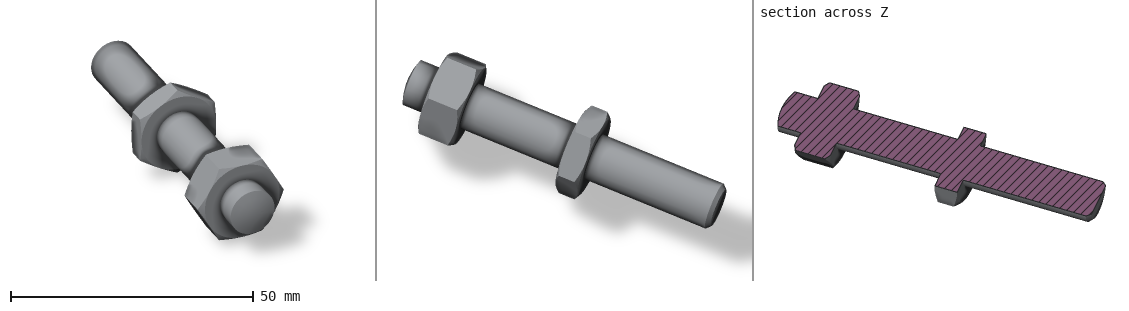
import cadquery as cq
import math

total_length = 69.95
rod_diameter = 10.0
rod_radius = rod_diameter / 2
tip_chamfer = 0.9
dome_height = 1.0

across_flats = 17.0
across_corners = across_flats / math.cos(math.radians(30))
nut_chamfer_angle = 30.0
cone_overrun = 0.7
thin_nut_start = 28.0
thin_nut_thickness = 5.05
thick_nut_start = 56.0
thick_nut_thickness = 8.0


def make_rod():
    """Rod with a chamfered tip at X = 0 and a shallow domed end."""
    dome_start = total_length - dome_height
    sphere_radius = (rod_radius**2 + dome_height**2) / (2 * dome_height)
    arc_mid_radius = rod_radius / 2
    arc_mid_x = total_length - sphere_radius + math.sqrt(sphere_radius**2 - arc_mid_radius**2)
    return (
        cq.Workplane("XY")
        .lineTo(0, rod_radius - tip_chamfer)
        .lineTo(tip_chamfer, rod_radius)
        .lineTo(dome_start, rod_radius)
        .threePointArc((arc_mid_x, arc_mid_radius), (total_length, 0))
        .close()
        .revolve(360, (0, 0, 0), (1, 0, 0))
    )


def make_nut(start, thickness, turn):
    """Solid hexagon with conical corners on both faces, turned about X by an angle in degrees."""
    hexagon = (
        cq.Workplane("YZ", origin=(start, 0, 0))
        .polygon(6, across_corners)
        .extrude(thickness)
        .rotate((0, 0, 0), (1, 0, 0), turn)
    )
    face_radius = across_flats / 2
    outer_radius = across_corners / 2 + cone_overrun
    cone_depth = (outer_radius - face_radius) * math.tan(math.radians(nut_chamfer_angle))
    end = start + thickness
    envelope = (
        cq.Workplane("XY")
        .moveTo(start, 0)
        .lineTo(start, face_radius)
        .lineTo(start + cone_depth, outer_radius)
        .lineTo(end - cone_depth, outer_radius)
        .lineTo(end, face_radius)
        .lineTo(end, 0)
        .close()
        .revolve(360, (0, 0, 0), (1, 0, 0))
    )
    return hexagon.intersect(envelope)


thin_nut = make_nut(thin_nut_start, thin_nut_thickness, 90)
thick_nut = make_nut(thick_nut_start, thick_nut_thickness, 0)
result = make_rod().union(thin_nut).union(thick_nut)